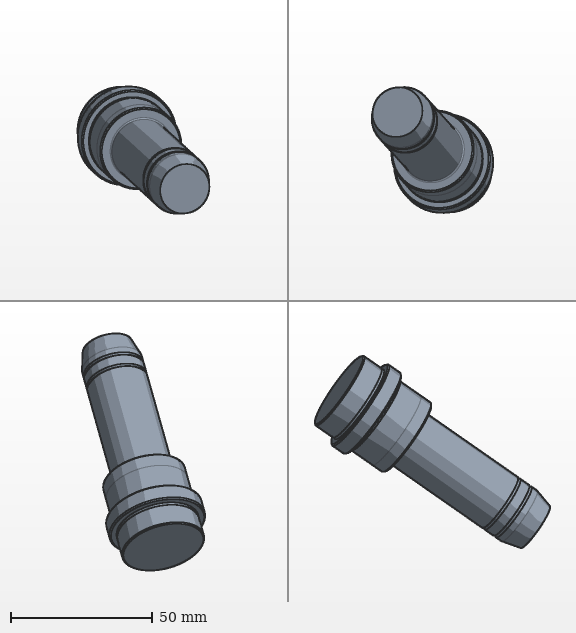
import cadquery as cq
import math

length = 86.0
head_radius = 30.0 / 2
collar_radius = 35.0 / 2
shank_radius = 22.0 / 2

collar_start = 8.95
collar_end = 15.0
body_split = 25.0
body_end = 30.0
groove_starts = (70.6, 75.5)
taper_start = 78.9

head_chamfer = 0.4
edge_chamfer = 0.5
shank_fillet = 0.5
relief_width = 1.0
relief_depth = 0.35
groove_radius = 0.5
taper_angle = 15.0

tip_radius = shank_radius - (length - taper_start) * math.tan(math.radians(taper_angle))
diagonal = math.sqrt(0.5)


def add_groove(outline, start, radius, width, depth):
    """Run along a cylinder to a groove of arc section, then across the groove."""
    return outline.lineTo(start, radius).threePointArc(
        (start + width / 2, radius - depth),
        (start + width, radius),
    )


profile = cq.Workplane("XY").lineTo(0, head_radius - head_chamfer).lineTo(head_chamfer, head_radius)

profile = add_groove(profile, collar_start - relief_width, head_radius, relief_width, relief_depth)
profile = (
    profile.lineTo(collar_start, collar_radius - edge_chamfer)
    .lineTo(collar_start + edge_chamfer, collar_radius)
    .lineTo(collar_end - edge_chamfer, collar_radius)
    .lineTo(collar_end, collar_radius - edge_chamfer)
)
profile = add_groove(profile, collar_end, head_radius, relief_width, relief_depth)

profile = (
    profile.lineTo(body_split, head_radius)
    .lineTo(body_end - edge_chamfer, head_radius)
    .lineTo(body_end, head_radius - edge_chamfer)
    .lineTo(body_end, shank_radius + shank_fillet)
    .threePointArc(
        (
            body_end + shank_fillet * (1 - diagonal),
            shank_radius + shank_fillet * (1 - diagonal),
        ),
        (body_end + shank_fillet, shank_radius),
    )
)

for start in groove_starts:
    profile = add_groove(profile, start, shank_radius, 2 * groove_radius, groove_radius)

profile = profile.lineTo(taper_start, shank_radius).lineTo(length, tip_radius).lineTo(length, 0).close()

result = profile.revolve(360, (0, 0, 0), (1, 0, 0), clean=False)